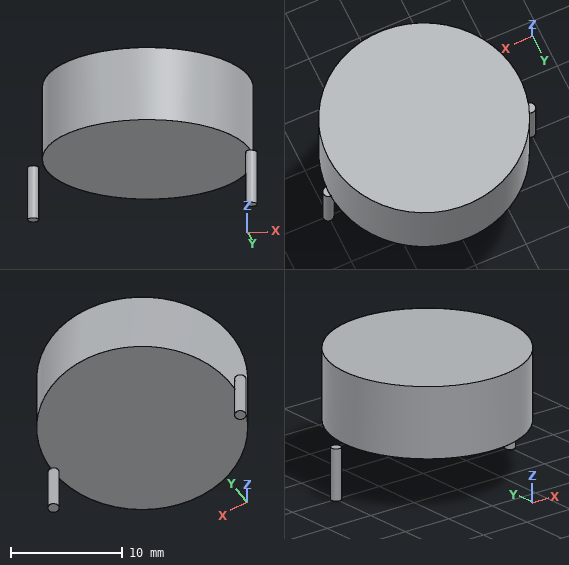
import cadquery as cq

overall_length = 21.02
overall_height = 12.1
housing_diameter = 19.0
housing_height = 7.02
pin_diameter = 1.03
housing_offset = 0.5

pin_spacing = overall_length - pin_diameter
pin_length = overall_height - housing_height


def make_housing():
    """Plain round housing standing on the XY plane, centred on the Z axis."""
    return cq.Workplane("XY").circle(housing_diameter / 2).extrude(housing_height)


def make_pin(x):
    """Round pin hanging down from the level of the housing underside."""
    return cq.Workplane("XY").center(x, 0).circle(pin_diameter / 2).extrude(-pin_length)


housing = make_housing()

pins = []
for side in (-1, 1):
    pin_x = side * pin_spacing / 2 - housing_offset
    pins.append(make_pin(pin_x))

result = cq.Compound.makeCompound([housing.val(), *[pin.val() for pin in pins]])